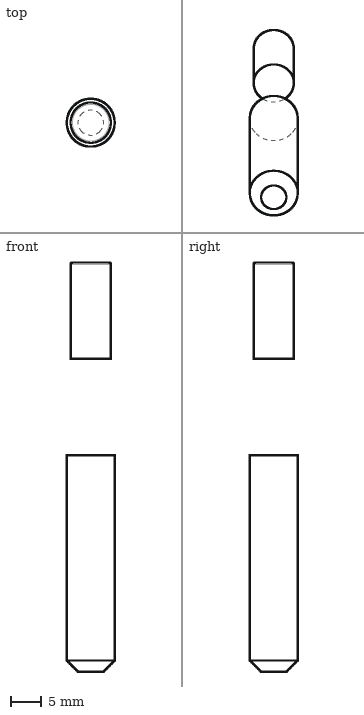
import cadquery as cq

rod_diameter = 8.0
rod_length = 36.0
rod_bevel = 1.9

pin_diameter = 6.7
pin_length = 16.0
pin_gap = 16.0
pin_edge_radius = 0.3


def make_rod():
    """Upright rod standing on Z = 0, bevelled at 45 degrees around its bottom edge."""
    blank = cq.Workplane("XY").circle(rod_diameter / 2).extrude(rod_length)
    return blank.faces("<Z").edges().chamfer(rod_bevel)


def make_pin():
    """Pin above the rod, with its top edge slightly rounded."""
    pin_bottom = rod_length + pin_gap
    blank = cq.Workplane("XY").workplane(offset=pin_bottom).circle(pin_diameter / 2).extrude(pin_length)
    return blank.faces(">Z").edges().fillet(pin_edge_radius)


rod = make_rod()
pin = make_pin()

result = cq.Compound.makeCompound([rod.val(), pin.val()])